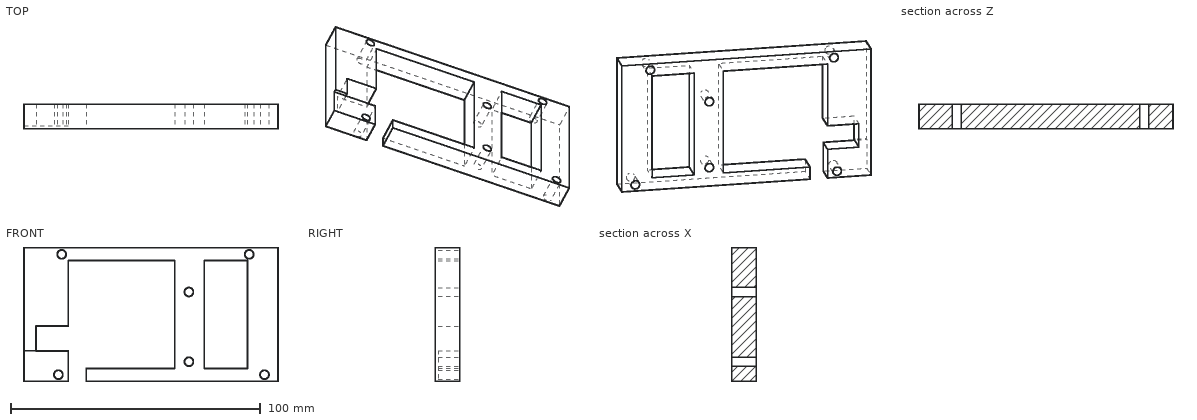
import cadquery as cq

length = 101.8
thickness = 10.0
height = 53.4

rail_height = 5.2
window_top = height - rail_height
large_window_left = 17.8
large_window_right = 60.4
small_window_left = 72.3
small_window_right = 89.5

gap_right = 24.9

slot_left = 5.0
slot_bottom = 12.2
slot_top = 22.1

step_depth = 1.2

hole_diameter = 3.5
edge_hole_inset = 2.6
top_hole_z = height - edge_hole_inset
hole_centers = [
    (15.2, top_hole_z),
    (90.2, top_hole_z),
    (66.1, 35.7),
    (66.1, 7.8),
    (13.8, edge_hole_inset),
    (96.3, edge_hole_inset),
]


def block(left, right, bottom, top, depth=thickness):
    """Box reaching back from the front face (Y = 0) by the given depth."""
    return cq.Workplane("XY").box(
        right - left, depth, top - bottom, centered=False
    ).translate((left, 0, bottom))


def hole(x, z):
    """Cylinder along Y through the full thickness."""
    return (
        cq.Workplane("XZ", origin=(x, 0, z))
        .circle(hole_diameter / 2)
        .extrude(-thickness)
    )


result = block(0, length, 0, height)

result = result.cut(block(large_window_left, large_window_right, rail_height, window_top))
result = result.cut(block(small_window_left, small_window_right, rail_height, window_top))
result = result.cut(block(large_window_left, gap_right, 0, rail_height))
result = result.cut(block(slot_left, large_window_left, slot_bottom, slot_top))

result = result.cut(block(0, large_window_left, 0, slot_bottom, step_depth))

for center_x, center_z in hole_centers:
    result = result.cut(hole(center_x, center_z))